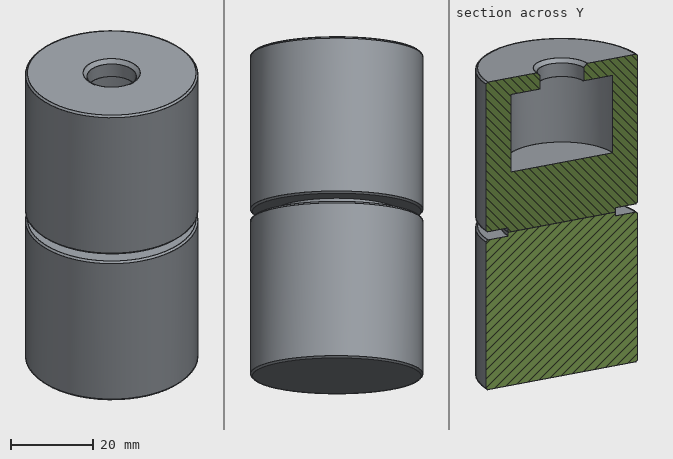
import cadquery as cq

total_height = 80.0
outer_diameter = 42.0
edge_chamfer = 0.5

neck_diameter = 29.8
neck_gap = 2.0
hub_height = (total_height - neck_gap) / 2
joint_height = total_height / 2

bore_diameter = 12.0
bore_chamfer = 1.0
top_wall = 4.5
cavity_diameter = 28.0
cavity_depth = 20.0


def make_hub(base_height):
    """Chamfered cylinder standing on the given height."""
    return (
        cq.Workplane("XY", origin=(0, 0, base_height))
        .circle(outer_diameter / 2)
        .extrude(hub_height)
        .faces("<Z or >Z")
        .chamfer(edge_chamfer)
    )


def make_half_neck(base_height):
    """Half of the neck, from the given height upward."""
    return (
        cq.Workplane("XY", origin=(0, 0, base_height))
        .circle(neck_diameter / 2)
        .extrude(neck_gap / 2)
    )


def make_lower_hub():
    return make_hub(0).union(make_half_neck(hub_height))


def make_bore_and_cavity():
    """Cutting shape: flared mouth, bore through the top wall, wide cavity below."""
    bore_radius = bore_diameter / 2
    mouth_radius = bore_radius + bore_chamfer
    cavity_radius = cavity_diameter / 2
    cavity_top = total_height - top_wall
    cavity_floor = cavity_top - cavity_depth
    return (
        cq.Workplane("XZ")
        .moveTo(0, total_height)
        .lineTo(mouth_radius, total_height)
        .lineTo(bore_radius, total_height - bore_chamfer)
        .lineTo(bore_radius, cavity_top)
        .lineTo(cavity_radius, cavity_top)
        .lineTo(cavity_radius, cavity_floor)
        .lineTo(0, cavity_floor)
        .close()
        .revolve(360, (0, 0, 0), (0, 1, 0))
    )


def make_upper_hub():
    hub = make_hub(total_height - hub_height).union(make_half_neck(joint_height))
    return hub.cut(make_bore_and_cavity())


lower_hub = make_lower_hub()
upper_hub = make_upper_hub()

result = cq.Compound.makeCompound([lower_hub.val(), upper_hub.val()])